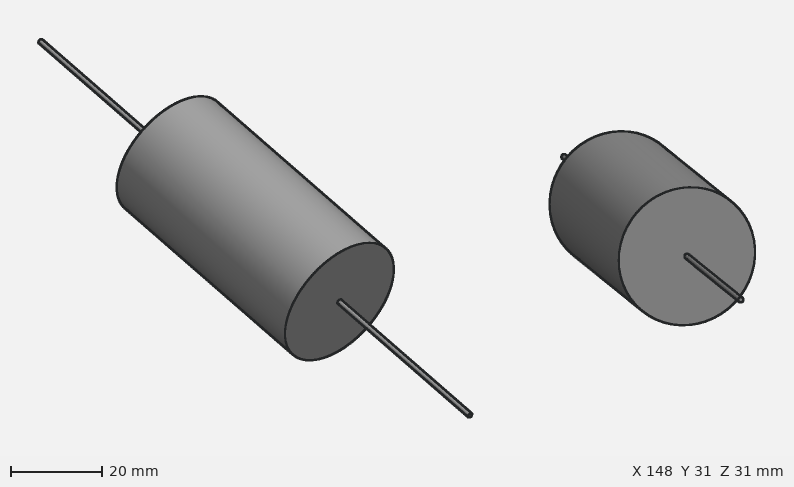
import cadquery as cq

case_diameter = 31.0
case_length = 58.0
lead_length = 45.0
wire_diameter = 1.2
wire_length = case_length + 2 * lead_length


def centred_cylinder(diameter, length):
    """Solid cylinder along X, centred on the origin."""
    start_plane = cq.Workplane("YZ").workplane(offset=-length / 2)
    return start_plane.circle(diameter / 2).extrude(length)


lead_wire = centred_cylinder(wire_diameter, wire_length)

case = centred_cylinder(case_diameter, case_length).cut(lead_wire)

result = cq.Compound.makeCompound([case.val(), lead_wire.val()])